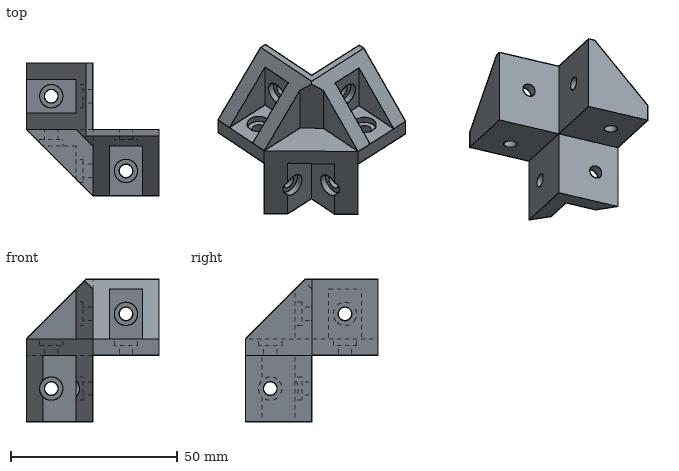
import cadquery as cq

arm = 20.0
wall = 5.0
slot_width = 10.0
height = 43.0
hole_diameter = 4.02
bore_diameter = 7.02
bore_depth = 2.0

floor_top = arm + wall
pocket_depth = arm - wall
screw_offset = pocket_depth / 2
slot_start = arm + (arm - slot_width) / 2
screw_along_arm = arm + arm / 2
leg_screw_height = arm / 2
hole_length = 2 * wall


def swap_xy(shape):
    """Mirror a shape across the vertical plane X = Y."""
    return shape.mirror("XZ").rotate((0, 0, 0), (0, 0, 1), 90)


def box(x, y, z, length, width, depth):
    return cq.Workplane("XY").box(length, width, depth, centered=False).translate((x, y, z))


def sloped_bar(start, length):
    """Bar along X with a 45 degree face rising toward +Y and a flat crest."""
    crest = height - floor_top
    profile = [(0, arm), (arm, arm), (arm, height), (crest, height), (0, floor_top)]
    return cq.Workplane("YZ").polyline(profile).close().extrude(length).translate((start, 0, 0))


def corner_prism(offset, bottom, top):
    """Vertical prism filling the inner corner beyond the diagonal from `offset`."""
    outline = [(offset, arm), (arm, offset), (arm, arm)]
    return cq.Workplane("XY").workplane(offset=bottom).polyline(outline).close().extrude(top - bottom)


def screw_cutter(seat, direction):
    """Through hole with a head recess, sunk from `seat` along `direction`."""
    plane = cq.Plane(origin=seat, normal=direction)
    hole = cq.Workplane(plane).circle(hole_diameter / 2).extrude(hole_length)
    recess_top = cq.Workplane(plane).workplane(offset=-screw_offset)
    recess = recess_top.circle(bore_diameter / 2).extrude(screw_offset + bore_depth)
    return hole.union(recess)


def horizontal_arm():
    """Arm along X with its pocket and two screw holes."""
    pocket = box(slot_start, 0, floor_top, slot_width, pocket_depth, arm)
    floor_screw = screw_cutter((screw_along_arm, screw_offset, floor_top), (0, 0, -1))
    wall_screw = screw_cutter((screw_along_arm, pocket_depth, floor_top + screw_offset), (0, 1, 0))
    return sloped_bar(arm, arm).cut(pocket).cut(floor_screw).cut(wall_screw)


def vertical_leg():
    """Downward leg with its pocket open at the bottom and two screw holes."""
    pocket = box(0, 0, 0, pocket_depth, pocket_depth, arm)
    screw = screw_cutter((screw_offset, pocket_depth, leg_screw_height), (0, 1, 0))
    return corner_prism(0, 0, floor_top).cut(pocket).cut(screw).cut(swap_xy(screw))


def corner_web():
    """Upright web joining the two walls, roofed by both sloped faces."""
    roof = sloped_bar(0, arm)
    return corner_prism(pocket_depth, arm, height).intersect(roof).intersect(swap_xy(roof))


x_arm = horizontal_arm()
result = vertical_leg().union(corner_web()).union(x_arm).union(swap_xy(x_arm))